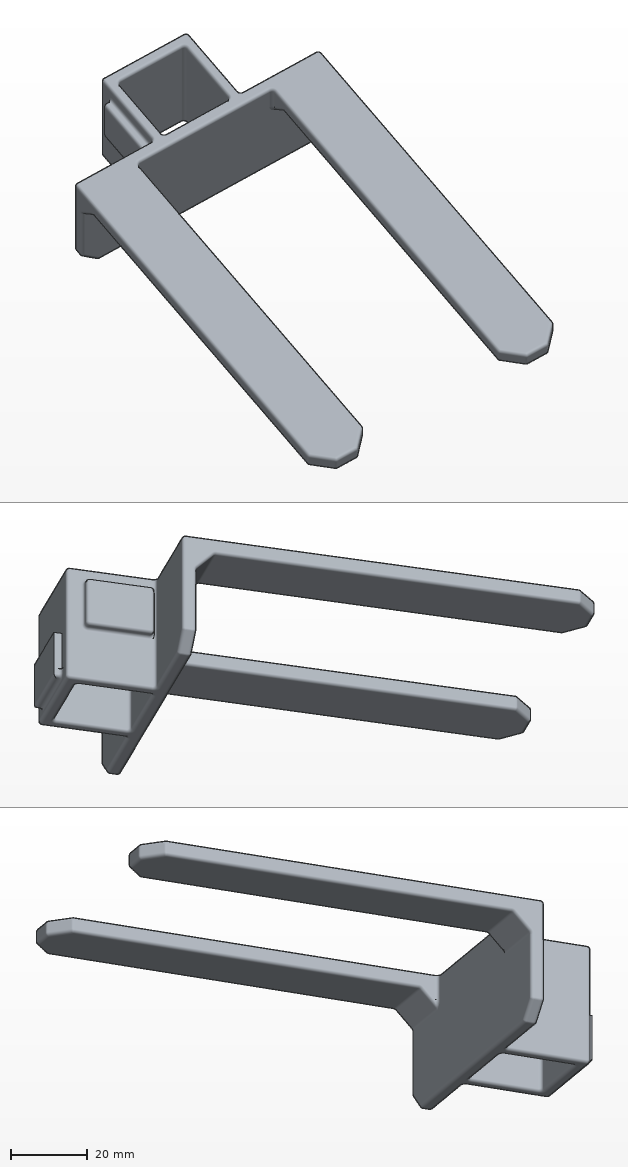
import cadquery as cq

length = 139.9
width = 77.6
height = 33.0
edge_radius = 1.01

plate_back = 26.6
plate_thickness = 3.8
plate_front = plate_back + plate_thickness
plate_corner = 5.0

socket_back = 2.2
socket_width = 27.3
cavity_length = 21.0
cavity_width = 21.3

fork_width = 17.3
fork_thickness = 4.5
tip_corner = 5.3
gusset = 5.0

pad_edge_radius = 1.0
flare = 1.0
root_rim = 0.1
flare_margin = flare + root_rim
root_depth = 1.4

side_pad_start = 7.0
side_pad_length = 18.5
side_pad_bottom = 15.4
side_pad_top = 29.1
side_pad_depth = 2.5

back_pad_width = 18.5
back_pad_bottom = 2.4
back_pad_top = 15.4
back_flare_top = 4.8


def block(x0, x1, y0, y1, z0, z1):
    """Box between two opposite corners."""
    return cq.Workplane("XY").box(x1 - x0, y1 - y0, z1 - z0, centered=False).translate((x0, y0, z0))


def make_plate():
    """Upright plate with its two lower corners cut off."""
    plate = block(plate_back, plate_front, -width / 2, width / 2, 0, height)
    return plate.edges("|X and <Z").chamfer(plate_corner)


def make_fork(y_start):
    """One fork with a sloped gusset under its root and a bevelled tip."""
    fork_bottom = height - fork_thickness
    side = [
        (plate_back, height),
        (length, height),
        (length, fork_bottom),
        (plate_front + gusset, fork_bottom),
        (plate_front, fork_bottom - gusset),
        (plate_back, fork_bottom - gusset),
    ]
    fork = cq.Workplane("XZ").polyline(side).close().extrude(-fork_width)
    return fork.edges("|Z and >X").chamfer(tip_corner).translate((0, y_start, 0))


def make_body():
    """Plate, forks and socket in one piece, with every edge rounded."""
    socket = block(socket_back, plate_front, -socket_width / 2, socket_width / 2, 0, height)
    cavity = block(plate_back - cavity_length, plate_back, -cavity_width / 2, cavity_width / 2, 0, height)
    body = make_plate().union(socket)
    for y_start in (-width / 2, width / 2 - fork_width):
        body = body.union(make_fork(y_start))
    return body.cut(cavity).clean().edges().fillet(edge_radius)


def flare_base(rooted_pad, root_face):
    """Round the inner corner all round a pad standing on its root."""
    return rooted_pad.faces(root_face).wires(cq.selectors.LengthNthSelector(0)).edges().fillet(flare)


def make_side_pad():
    """Raised pad on the -Y socket face, rounded outside and flared where it meets the face."""
    face = -socket_width / 2
    side_pad_end = side_pad_start + side_pad_length
    pad = block(side_pad_start, side_pad_end, face - side_pad_depth, face, side_pad_bottom, side_pad_top)
    pad = pad.edges("|Y or <Y").fillet(pad_edge_radius)
    root = block(
        side_pad_start - flare_margin,
        side_pad_end + flare_margin,
        face,
        face + root_depth,
        side_pad_bottom - flare_margin,
        side_pad_top + flare_margin,
    )
    return flare_base(root.union(pad), "|Y and (not <Y) and (not >Y)")


def make_back_pad():
    """Raised pad on the -X socket face, with a flared foot along its lower end."""
    half = back_pad_width / 2
    blank = block(0, socket_back, -half, half, back_pad_bottom, back_pad_top)
    rounded_corners = blank.edges("|X and <Z").fillet(pad_edge_radius)
    rounded_lip = blank.edges("<X and <Z").fillet(pad_edge_radius)
    pad = rounded_corners.intersect(rounded_lip)
    root = block(
        socket_back,
        socket_back + root_depth,
        -half - flare_margin,
        half + flare_margin,
        back_pad_bottom - flare_margin,
        back_pad_top + flare_margin,
    )
    foot_zone = block(0, socket_back + root_depth, -half - flare, half + flare, 0, back_flare_top)
    foot = flare_base(root.union(pad), "|X and (not <X) and (not >X)").intersect(foot_zone)
    return foot.union(pad)


result = make_body().union(make_side_pad()).union(make_back_pad())